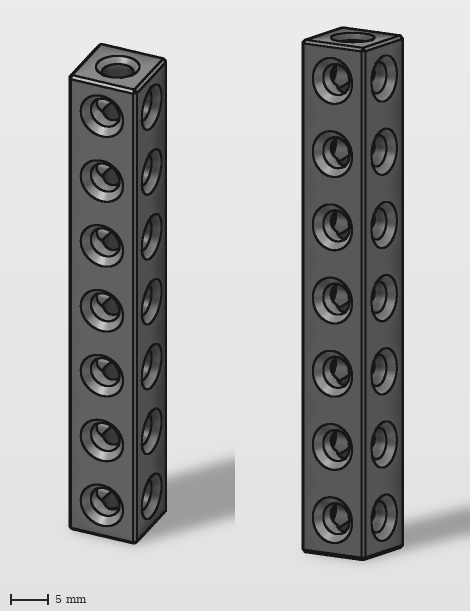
import cadquery as cq

length = 70.0
cell_count = 7
pitch = length / cell_count
width = pitch
edge_chamfer = 0.4

hole_diameter = 4.2
side_sink_diameter = 6.2
end_sink_diameter = 5.8
sink_angle = 90.0


def drill_from(body, face, points, sink_diameter):
    """Drill countersunk through holes at points placed around the face centre."""
    return (
        body.faces(face)
        .workplane(centerOption="CenterOfBoundBox")
        .pushPoints(points)
        .cskHole(hole_diameter, sink_diameter, sink_angle)
    )


bar = cq.Workplane("XY").box(width, width, length).edges().chamfer(edge_chamfer)

middle_cell = (cell_count - 1) / 2
row = [(0, (cell - middle_cell) * pitch) for cell in range(cell_count)]

for side_face in ("<X", ">X", "<Y", ">Y"):
    bar = drill_from(bar, side_face, row, side_sink_diameter)

for end_face in ("<Z", ">Z"):
    bar = drill_from(bar, end_face, [(0, 0)], end_sink_diameter)

result = bar